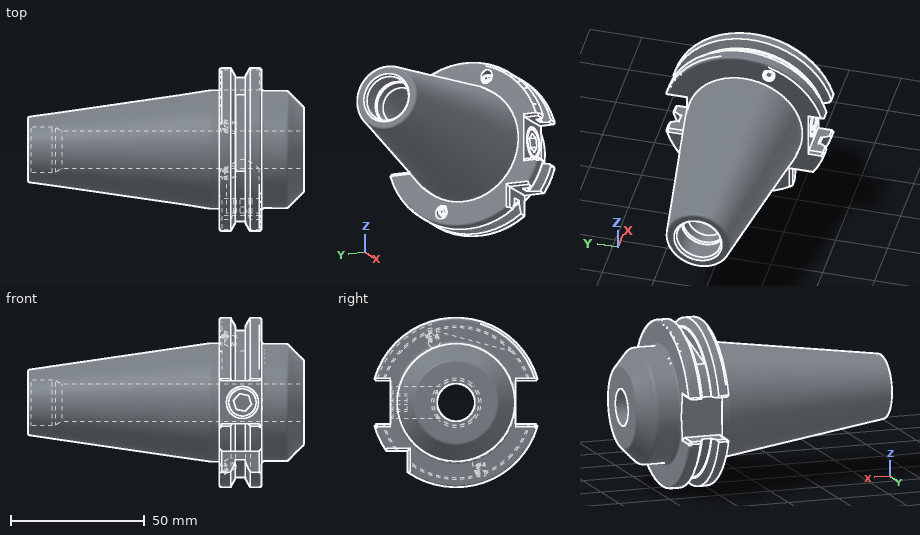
import cadquery as cq
import math


gauge_radius = 44.45 / 2
taper_length = 68.4
taper_ratio = 7 / 24
taper_end_radius = gauge_radius - taper_length * taper_ratio / 2
taper_end_fillet = 1.0

flange_radius = 63.55 / 2
flange_start = 3.2
flange_end = 19.1
flange_fillet = 1.0

groove_centre = 11.1
groove_floor_radius = 56.25 / 2
groove_floor_width = 3.75
groove_mouth_width = 7.3
groove_flank_angle = 30
groove_flank_width = (groove_mouth_width - groove_floor_width) / 2
groove_flank_depth = groove_flank_width / math.tan(math.radians(groove_flank_angle))

flat_distance = 23.9
flat_tilt = 15
flat_width = 3.5

slot_width = 16.1
half_slot = slot_width / 2
near_slot_floor = 24.5
far_slot_floor = 22.3
notch_offset = 18.2
wall_chamfer = 1.0
mouth_chamfer = 0.885

nose_radius = 22.0
nose_end = 35.0
nose_chamfer = 6.25
nose_fillet = 1.5
nose_root_fillet = 1.0

bore_radius = 7.0
counterbore_radius = 8.5
counterbore_depth = 8.9
mouth_cone_length = 1.2
mouth_cone_radius = 9.25
relief_radius = 8.4
relief_length = 1.3
bore_cone_angle = 30

clamp_radius = 6.0
clamp_position = 11.9
clamp_chamfer = 0.9
clamp_hex_width = 6.0
clamp_hex_depth = 6.0
clamp_hex_turn = 17.5

plug_radius = 2.2
plug_circle_radius = 27.0
plug_circle_angle = 20
plug_tilt = 30
plug_recess = 1.2
plug_length = 5.0
plug_chamfer = 0.4
plug_hex_width = 2.5
plug_hex_depth = 2.0
plug_hex_turn = 0

overcut = 5.0
outer_reach = flange_radius + overcut
tolerance = 0.01


def revolve_about_x(sketch):
    """Revolve a profile, whose second coordinate is the radius, about the X axis."""
    return sketch.close().revolve(360, (0, 0, 0), (1, 0, 0))


def make_taper():
    taper = revolve_about_x(
        cq.Workplane("XZ")
        .moveTo(-taper_length, 0)
        .lineTo(-taper_length, taper_end_radius)
        .lineTo(0, gauge_radius)
        .lineTo(flange_start, gauge_radius)
        .lineTo(flange_start, 0)
    )
    return taper.faces("<X").edges().fillet(taper_end_fillet)


def make_nose():
    """Nose with a rounded 45 degree chamfer at its free end and a fillet where it meets the flange."""
    nose = revolve_about_x(
        cq.Workplane("XY")
        .moveTo(flange_end, 0)
        .lineTo(flange_end, nose_radius)
        .lineTo(nose_end - nose_chamfer, nose_radius)
        .lineTo(nose_end, nose_radius - nose_chamfer)
        .lineTo(nose_end, 0)
    )
    chamfer_middle = nose_end - nose_chamfer / 2
    corner_zone = cq.selectors.BoxSelector(
        (chamfer_middle - nose_chamfer, -flange_radius, -flange_radius),
        (chamfer_middle + nose_chamfer, flange_radius, flange_radius),
    )
    nose = nose.edges(corner_zone).edges("%CIRCLE").fillet(nose_fillet)
    root = revolve_about_x(
        cq.Workplane("XY")
        .moveTo(flange_end, bore_radius)
        .lineTo(flange_end, nose_radius + nose_root_fillet)
        .radiusArc((flange_end + nose_root_fillet, nose_radius), -nose_root_fillet)
        .lineTo(flange_end + nose_root_fillet, bore_radius)
    )
    return nose.union(root)


def make_flange_opening(y_start, y_end, z_start, z_end):
    """Block that cuts right through the flange width."""
    width = flange_end - flange_start
    return (
        cq.Workplane("XY")
        .box(width + 2 * overcut, y_end - y_start, z_end - z_start, centered=False)
        .translate((flange_start - overcut, y_start, z_start))
    )


def make_disc():
    return (
        cq.Workplane("YZ", origin=(flange_start, 0, 0))
        .circle(flange_radius)
        .extrude(flange_end - flange_start)
    )


def make_far_slot():
    """Opening of the +Y driving slot, which also trims the nose root behind the flange."""
    return make_flange_opening(far_slot_floor, outer_reach, -half_slot, half_slot)


def make_flange():
    """Flange with rounded rims, two driving slots and an orientation notch with chamfered walls."""
    near_slot = make_flange_opening(-outer_reach, -near_slot_floor, -half_slot, half_slot)
    notch = make_flange_opening(-outer_reach, -notch_offset, -outer_reach, -notch_offset)
    flange = make_disc().cut(near_slot).cut(make_far_slot())
    inside_rim = flange_radius - tolerance

    def is_slot_mouth(edge):
        centre = edge.Center()
        return abs(abs(centre.z) - half_slot) < tolerance and math.hypot(centre.y, centre.z) > inside_rim

    mouth_edges = [edge for edge in flange.edges("|X").vals() if is_slot_mouth(edge)]
    flange = flange.newObject(mouth_edges).chamfer(mouth_chamfer).cut(notch)

    def is_slot_floor(edge):
        y = edge.Center().y
        return abs(y + near_slot_floor) < tolerance or abs(y - far_slot_floor) < tolerance

    end_edges = flange.faces("<X or >X").edges("%LINE").vals()
    wall_edges = [edge for edge in end_edges if not is_slot_floor(edge)]
    rounded_disc = make_disc().edges().fillet(flange_fillet)
    return flange.newObject(wall_edges).chamfer(wall_chamfer).intersect(rounded_disc)


def make_groove_cutter():
    flank_end_radius = flange_radius - groove_flank_depth
    half_mouth = groove_mouth_width / 2
    half_floor = groove_floor_width / 2
    outside = flange_radius + overcut
    return revolve_about_x(
        cq.Workplane("XY")
        .moveTo(groove_centre - half_mouth, outside)
        .lineTo(groove_centre - half_mouth, flange_radius)
        .lineTo(groove_centre - half_floor, flank_end_radius)
        .lineTo(groove_centre - half_floor, groove_floor_radius)
        .lineTo(groove_centre + half_floor, groove_floor_radius)
        .lineTo(groove_centre + half_floor, flank_end_radius)
        .lineTo(groove_centre + half_mouth, flange_radius)
        .lineTo(groove_centre + half_mouth, outside)
    )


def make_flat_cutter():
    """Block that cuts a tilted flat into the groove floor."""
    depth = groove_floor_radius - flat_distance
    return (
        cq.Workplane("XY")
        .box(flat_width, 2 * groove_floor_radius, depth, centered=(True, True, False))
        .translate((groove_centre, 0, flat_distance))
        .rotate((0, 0, 0), (1, 0, 0), -flat_tilt)
    )


def make_bore_cutter():
    """Through bore with a flared counterbore, a short relief and a cone down to the bore."""
    mouth = -taper_length
    counterbore_end = mouth + counterbore_depth
    relief_end = counterbore_end + relief_length
    cone_length = (relief_radius - bore_radius) / math.tan(math.radians(bore_cone_angle))
    return revolve_about_x(
        cq.Workplane("XY")
        .moveTo(mouth, 0)
        .lineTo(mouth, mouth_cone_radius)
        .lineTo(mouth + mouth_cone_length, counterbore_radius)
        .lineTo(counterbore_end, counterbore_radius)
        .lineTo(counterbore_end, relief_radius)
        .lineTo(relief_end, relief_radius)
        .lineTo(relief_end + cone_length, bore_radius)
        .lineTo(nose_end, bore_radius)
        .lineTo(nose_end, 0)
    )


def make_hex_socket(width, depth, turn):
    """Hexagonal socket cutter sunk from Z = 0 downwards."""
    socket = cq.Workplane("XY").polygon(6, width, circumscribed=True).extrude(-depth)
    return socket.rotate((0, 0, 0), (0, 0, 1), turn)


def make_set_screw(radius, length, chamfer, hex_width, hex_depth, hex_turn):
    """Set screw along Z with its head face at Z = 0 and its body below."""
    screw = cq.Workplane("XY").circle(radius).extrude(-length).faces(">Z").chamfer(chamfer)
    return screw.cut(make_hex_socket(hex_width, hex_depth, hex_turn))


def place_clamp(shape):
    """Move a shape drawn along Z to the floor of the near slot, facing -Y."""
    return shape.rotate((0, 0, 0), (1, 0, 0), 90).translate((clamp_position, -near_slot_floor, 0))


def place_plug(shape, angle):
    """Move a shape drawn along Z to the -X flange face, sloping towards the spindle axis."""
    return (
        shape.rotate((0, 0, 0), (0, 1, 0), -90 + plug_tilt)
        .translate((flange_start, 0, plug_circle_radius))
        .rotate((0, 0, 0), (1, 0, 0), angle)
    )


clamp_depth = near_slot_floor - bore_radius
plug_hole_bottom = plug_recess + plug_length
plug_angles = [plug_circle_angle, plug_circle_angle + 180]

clamp_hole = cq.Workplane("XY").circle(clamp_radius).extrude(-near_slot_floor)
plug_hole = (
    cq.Workplane("XY", origin=(0, 0, -plug_hole_bottom))
    .circle(plug_radius)
    .extrude(plug_hole_bottom + overcut)
)
holder = make_taper().union(make_flange()).union(make_nose())
holder = holder.cut(make_far_slot()).cut(make_groove_cutter()).cut(make_flat_cutter()).cut(make_bore_cutter())
holder = holder.cut(place_clamp(clamp_hole))
for angle in plug_angles:
    holder = holder.cut(place_plug(plug_hole, angle))

clamp_screw = place_clamp(
    make_set_screw(clamp_radius, clamp_depth, clamp_chamfer, clamp_hex_width, clamp_hex_depth, clamp_hex_turn)
)

plug = make_set_screw(plug_radius, plug_length, plug_chamfer, plug_hex_width, plug_hex_depth, plug_hex_turn)
sunk_plug = plug.translate((0, 0, -plug_recess))
plugs = [place_plug(sunk_plug, angle) for angle in plug_angles]

result = cq.Compound.makeCompound(
    [holder.val(), clamp_screw.val(), *[screw.val() for screw in plugs]]
)